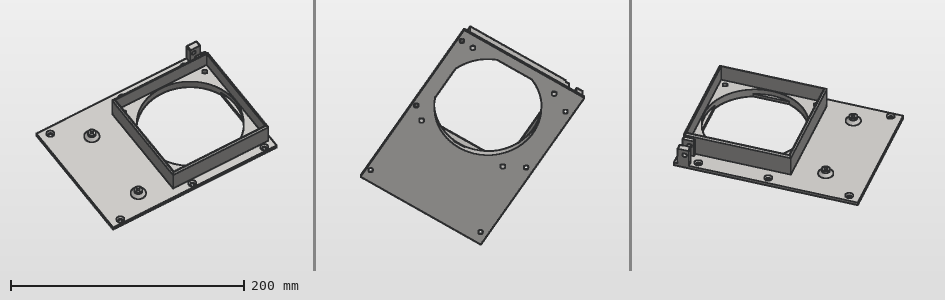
import cadquery as cq

plate_x = 122.0
plate_y = 166.5
plate_t = 3.0

frame_side = 97.0
frame_wall = 2.0
frame_top = 23.0
frame_chamfer = 1.5
frame_right_margin = 8.2
frame_back_margin = 3.2
frame_x = plate_x - frame_right_margin - frame_side / 2
frame_y = plate_y - frame_back_margin - frame_side / 2
frame_left = frame_x - frame_side / 2
frame_back = frame_y + frame_side / 2
floor_top = 8.0
fan_opening_d = 92.0
fan_screw_pitch = 82.5
fan_screw_d = 4.3

opening_right = 108.4
opening_back = 157.3

lug_y = 10.5
lug_top = 19.5
lug_thickness = 5.7
lug_gap = 7.8
lug_chamfer = 0.7
lug_hole_d = 4.0
lug_hole_from_back = 6.7
lug_hole_z = 13.8

mount_hole_d = 4.0
mount_head_d = 7.0
mount_left_x = 6.7
mount_right_margin = 4.0
mount_right_x = plate_x - mount_right_margin
mount_front_y = 10.0
mount_middle_y = plate_y / 2
mount_back_left_y = 146.5
mount_back_right_y = 156.5
mount_points = [
    (mount_left_x, mount_front_y),
    (mount_left_x, mount_middle_y),
    (mount_left_x, mount_back_left_y),
    (mount_right_x, mount_front_y),
    (mount_right_x, mount_middle_y),
    (mount_right_x, mount_back_right_y),
]

standoff_points = [(28.1, 38.5), (102.0, 38.5)]
standoff_d = 7.0
standoff_foot_d = 13.3
standoff_height = 5.0
standoff_foot_height = 3.0
standoff_hole_d = 2.7


def box(x0, y0, z0, x1, y1, z1):
    """Box between two opposite corners."""
    size = (x1 - x0, y1 - y0, z1 - z0)
    return cq.Workplane("XY").box(*size, centered=False).translate((x0, y0, z0))


def make_frame():
    inner_side = frame_side - 2 * frame_wall
    base = cq.Workplane("XY", origin=(frame_x, frame_y, plate_t))
    frame = base.rect(frame_side, frame_side).extrude(frame_top - plate_t)
    frame = frame.faces(">Z").edges().chamfer(frame_chamfer)
    floor = base.workplane(offset=floor_top - plate_t)
    return frame.cut(floor.rect(inner_side, inner_side).extrude(frame_top - floor_top))


def make_lug(x0, x1):
    lug = box(x0, frame_back - lug_y, plate_t, x1, frame_back, lug_top)
    lug = lug.faces(">Z").edges("|X").chamfer(lug_chamfer)
    hole_origin = (x0, frame_back - lug_hole_from_back, lug_hole_z)
    hole = cq.Workplane("YZ", origin=hole_origin).circle(lug_hole_d / 2).extrude(x1 - x0)
    return lug.cut(hole)


def make_standoff(x, y):
    profile = (
        cq.Workplane("XZ")
        .moveTo(standoff_hole_d / 2, 0)
        .lineTo(standoff_foot_d / 2, 0)
        .lineTo(standoff_d / 2, standoff_foot_height)
        .lineTo(standoff_d / 2, standoff_height)
        .lineTo(standoff_hole_d / 2, standoff_height)
        .close()
    )
    return profile.revolve(360, (0, 0, 0), (0, 1, 0)).translate((x, y, plate_t))


def make_fan_opening():
    """Round opening, cut short by two straight edges through the plate thickness."""
    center = cq.Workplane("XY", origin=(frame_x, frame_y, 0))
    opening = center.circle(fan_opening_d / 2).extrude(floor_top)
    right_web = box(opening_right, 0, 0, plate_x, plate_y, plate_t)
    back_web = box(0, opening_back, 0, plate_x, plate_y, plate_t)
    return opening.cut(right_web).cut(back_web)


def make_fan_screw_holes():
    center = cq.Workplane("XY", origin=(frame_x, frame_y, 0))
    corners = center.rect(fan_screw_pitch, fan_screw_pitch, forConstruction=True).vertices()
    return corners.circle(fan_screw_d / 2).extrude(floor_top)


def make_mount_hole(x, y):
    """Through hole with a 90 degree countersink at the top of the plate."""
    hole_r = mount_hole_d / 2
    head_r = mount_head_d / 2
    head_depth = head_r - hole_r
    profile = cq.Workplane("XZ").polyline([
        (0, 0),
        (hole_r, 0),
        (hole_r, plate_t - head_depth),
        (head_r, plate_t),
        (0, plate_t),
    ]).close()
    return profile.revolve(360, (0, 0, 0), (0, 1, 0)).translate((x, y, 0))


result = box(0, 0, 0, plate_x, plate_y, plate_t)
result = result.union(make_frame())
result = result.cut(make_fan_opening())
result = result.cut(make_fan_screw_holes())

second_lug_x = lug_thickness + lug_gap
result = result.union(make_lug(0, lug_thickness))
result = result.union(make_lug(second_lug_x, frame_left))

for standoff_x, standoff_y in standoff_points:
    result = result.union(make_standoff(standoff_x, standoff_y))

for mount_x, mount_y in mount_points:
    result = result.cut(make_mount_hole(mount_x, mount_y))